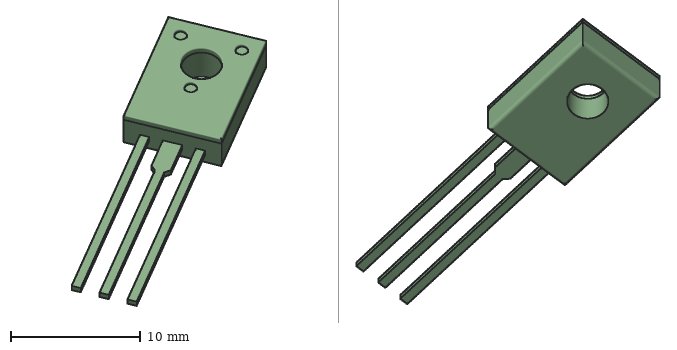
import cadquery as cq

body_width = 8.0
body_length = 11.0
body_height = 3.25
cover_thickness = 0.5
base_height = body_height - cover_thickness
base_fillet = 0.3
cover_fillet = 0.1

hole_diameter = 3.2
hole_y = body_length - 3.9

dimple_diameter = 1.0
dimple_depth = 0.25
dimple_spacing = 5.0
upper_dimple_y = body_length - 1.5
lower_dimple_y = hole_y - 2.6
dimple_centers = [
    (-dimple_spacing / 2, upper_dimple_y),
    (dimple_spacing / 2, upper_dimple_y),
    (0, lower_dimple_y),
]

total_length = 27.8
lead_length = total_length - body_length
lead_width = 0.75
lead_thickness = 0.5
lead_bottom_z = 1.0
lead_pitch = 2.28
shoulder_width = 1.58
shoulder_length = 2.78
shoulder_taper = (shoulder_width - lead_width) / 2


def make_block(bottom_z, height):
    """Rectangular block on the package footprint, front face at y = 0."""
    return (
        cq.Workplane("XY", origin=(0, body_length / 2, bottom_z))
        .rect(body_width, body_length)
        .extrude(height)
    )


def make_cylinders(centers, diameter, bottom_z, height):
    """Vertical cylinders used as cutting tools."""
    return (
        cq.Workplane("XY", origin=(0, 0, bottom_z))
        .pushPoints(centers)
        .circle(diameter / 2)
        .extrude(height)
    )


def make_lead(center_x):
    """Plain straight lead."""
    return (
        cq.Workplane("XY", origin=(center_x, -lead_length / 2, lead_bottom_z))
        .rect(lead_width, lead_length)
        .extrude(lead_thickness)
    )


def make_shoulder():
    """Wide root of the middle lead, tapering down to the lead width."""
    return (
        cq.Workplane("XY", origin=(0, 0, lead_bottom_z))
        .moveTo(-shoulder_width / 2, 0)
        .lineTo(-shoulder_width / 2, -shoulder_length)
        .lineTo(-lead_width / 2, -shoulder_length - shoulder_taper)
        .lineTo(lead_width / 2, -shoulder_length - shoulder_taper)
        .lineTo(shoulder_width / 2, -shoulder_length)
        .lineTo(shoulder_width / 2, 0)
        .close()
        .extrude(lead_thickness)
    )


def make_base(hole):
    """Lower block with rounded bottom edges, carrying the three leads."""
    base = make_block(0, base_height).faces("<Z").edges().fillet(base_fillet)
    base = base.cut(hole)
    for center_x in (-lead_pitch, 0, lead_pitch):
        base = base.union(make_lead(center_x))
    return base.union(make_shoulder())


def make_cover(hole):
    """Top plate with dimples; every edge of its top face is rounded."""
    dimples = make_cylinders(dimple_centers, dimple_diameter, body_height - dimple_depth, dimple_depth)
    cover = make_block(base_height, cover_thickness).cut(hole).cut(dimples)
    return cover.faces(">Z").edges().fillet(cover_fillet)


mounting_hole = make_cylinders([(0, hole_y)], hole_diameter, 0, body_height)
base = make_base(mounting_hole)
cover = make_cover(mounting_hole)

result = cq.Compound.makeCompound([base.val(), cover.val()])